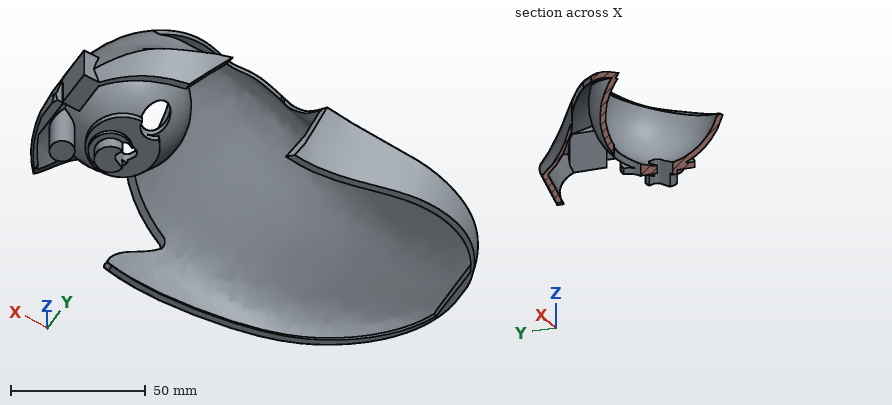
import cadquery as cq

WALL = 2.6
LIP_HEIGHT = 3.2
LIP_INSET = 1.5
CURL = 0.5
CUT_DEPTH = 140.2
SLOPE_STEPS = (1 / 3, 2 / 3, 1.0)

STATIONS = [
    (0.0, 57.8, 63.6, 4.5, 69.2, 3.5, 0.5),
    (2.6, 46.1, 63.6, 6.8, 78.9, 4.5, 0.6),
    (8.8, 35.0, 64.0, 10.0, 88.0, 6.3, 0.6),
    (21.0, 22.3, 64.8, 15.5, 95.7, 9.1, 0.6),
    (38.5, 11.2, 67.5, 22.3, 98.7, 13.1, 0.6),
    (59.6, 4.4, 71.0, 33.1, 96.5, 18.4, 0.45),
    (80.6, 1.0, 73.6, 46.3, 95.9, 22.8, 0.25),
    (101.7, 0.0, 75.0, 54.0, 98.1, 21.0, 0.4),
    (122.7, 2.6, 78.9, 54.5, 100.5, 16.5, 0.4),
    (140.2, 8.6, 78.9, 46.5, 97.0, 12.3, 0.35),
    (154.2, 16.6, 73.6, 38.2, 90.3, 10.5, 0.5),
    (164.7, 26.3, 65.7, 28.0, 79.2, 7.9, 0.65),
    (171.8, 37.7, 58.7, 15.8, 67.1, 5.3, 0.6),
    (175.3, 48.2, 53.5, 5.3, 58.7, 3.5, 0.5),
]

RIM_CENTRE = cq.Vector(141.3, 48.0, 35.8)
RIM_AXIS = cq.Vector(0.5, -0.5, 1.0).normalized()
RIM_RADIUS = 23.1
SOCKET_RADIUS = 23.3
SOCKET_WALL = 2.5
SOCKET_DROP = 3.5
RIM_STEP_WIDTH = 0.9
RIM_STEP_DEPTH = 1.0
BALL_CENTRE = RIM_CENTRE - RIM_AXIS * SOCKET_DROP
SIDE_HOLE_CENTRE = (134.0, 63.6)
SIDE_HOLE_RADIUS = 5.6
SENSOR_CENTRE = (138.0, 49.2)
SENSOR_LENGTH = 8.8
SENSOR_WIDTH = 6.0
SENSOR_ANGLE = 25.0
SENSOR_CORNER = 2.1

SEAT_CENTRE = (139.7, 49.6)
SEAT_RADIUS = 13.8
SEAT_BOTTOM = 6.8
SEAT_TOP = SEAT_BOTTOM + SOCKET_WALL
FOOT_CENTRE = (143.2, 46.6)
FOOT_RADIUS = 6.0
FOOT_COLLAR_RADIUS = 8.2
FOOT_COLLAR_BOTTOM = 5.3
POST_CENTRE = (160.4, 40.3)
POST_RADIUS = 4.7

PORT_FACE_X = 172.1
PORT_DEPTH = 7.4
PORT_LOW_Y = 59.2
PORT_HIGH_Y = 74.3
PORT_HEIGHT = 15.5

GAP_BACK_Y = 38.5
GAP_TONGUE = [(116.7, 0.0), (117.8, 2.6), (115.1, 8.6), (108.7, 13.5), (98.7, 18.5)]
GAP_INNER_END = (97.6, 20.0)
GAP_ROOF_START = (98.7, 21.7)
GAP_PEAK = (124.8, 31.7)
GAP_NOSE_EDGE = [(135.0, 27.2), (144.6, 22.8), (156.3, 12.0), (164.5, 0.0)]

THUMB_GAP_PALM_EDGE = [(79.0, 105.2), (79.0, 95.9), (83.6, 87.6), (89.2, 82.0), (87.6, 77.5)]
THUMB_GAP_WAIST = [(97.0, 77.5), (106.0, 73.6), (115.7, 75.4), (125.8, 77.5), (143.7, 78.0)]
THUMB_GAP_TIP = (145.0, 80.0)
THUMB_GAP_HORN_EDGE = [(143.0, 82.9), (132.5, 88.2), (125.8, 94.6), (123.2, 100.5)]
HORN_TIP_Z = 16.5
HORN_TOE_X = 136.7


def section(station, inset):
    """Closed YZ outline of the body at one station, drawn in by the inset."""
    x, low_y, ridge_y, ridge_z, high_y, high_z, fullness = station
    low_y += inset
    high_y -= inset
    ridge_z -= inset
    rise = ridge_z - LIP_HEIGHT
    slope = [(low_y + s**2 * (ridge_y - low_y), LIP_HEIGHT + s * rise) for s in SLOPE_STEPS]
    flank = ((ridge_y + high_y) / 2, high_z + fullness * (ridge_z - high_z))
    base_y = high_y - CURL * high_z
    return (
        cq.Workplane("YZ", origin=(x, 0, 0))
        .moveTo(low_y + LIP_INSET, 0)
        .lineTo(low_y, LIP_HEIGHT)
        .spline(slope + [flank, (high_y, high_z)], includeCurrent=True)
        .lineTo(base_y, 0)
        .close()
        .val()
    )


def body(stations, inset=0.0):
    """Solid lofted through the stations, drawn in by the inset."""
    return cq.Workplane(cq.Solid.makeLoft([section(s, inset) for s in stations]))


def finger_gap():
    """Cutter for the open space between the lower tongue and the ball end."""
    return (
        cq.Workplane("XZ")
        .moveTo(*GAP_TONGUE[0])
        .spline(GAP_TONGUE[1:], includeCurrent=True)
        .threePointArc(GAP_INNER_END, GAP_ROOF_START)
        .lineTo(*GAP_PEAK)
        .spline(GAP_NOSE_EDGE, includeCurrent=True)
        .close()
        .extrude(-GAP_BACK_Y)
    )


def thumb_gap():
    """Cutter for the open space between the palm and the horn beside the ball."""
    tip_x = THUMB_GAP_HORN_EDGE[-1][0]
    gap = (
        cq.Workplane("XY")
        .polyline(THUMB_GAP_PALM_EDGE)
        .spline(THUMB_GAP_WAIST, includeCurrent=True)
        .threePointArc(THUMB_GAP_TIP, THUMB_GAP_HORN_EDGE[0])
        .spline(THUMB_GAP_HORN_EDGE[1:], includeCurrent=True)
        .lineTo(tip_x, THUMB_GAP_PALM_EDGE[0][1])
        .close()
        .extrude(CUT_DEPTH)
    )
    undercut = (
        cq.Workplane("XZ", origin=(0, THUMB_GAP_TIP[1], 0))
        .polyline([(tip_x, HORN_TIP_Z), (HORN_TOE_X, 0), (tip_x, 0)])
        .close()
        .extrude(-CUT_DEPTH)
    )
    return gap.union(undercut)


def disc(centre, radius, bottom, top):
    return cq.Workplane("XY", origin=(*centre, bottom)).circle(radius).extrude(top - bottom)


def ball(radius):
    return cq.Workplane("XY", origin=BALL_CENTRE.toTuple()).sphere(radius)


def rim_bore(radius, depth):
    """Bore along the tilted rim axis, from a depth below the rim plane outwards."""
    start = RIM_CENTRE - RIM_AXIS * depth
    return cq.Workplane(cq.Solid.makeCylinder(radius, SOCKET_RADIUS, start, RIM_AXIS))


def socket_opening():
    return (
        ball(SOCKET_RADIUS)
        .union(rim_bore(RIM_RADIUS, SOCKET_DROP))
        .union(rim_bore(RIM_RADIUS + RIM_STEP_WIDTH, RIM_STEP_DEPTH))
    )


def socket_holes():
    side_hole = disc(SIDE_HOLE_CENTRE, SIDE_HOLE_RADIUS, 0, BALL_CENTRE.z)
    sensor = (
        cq.Workplane("XY")
        .rect(SENSOR_LENGTH, SENSOR_WIDTH)
        .extrude(BALL_CENTRE.z)
        .edges("|Z")
        .fillet(SENSOR_CORNER)
        .rotate((0, 0, 0), (0, 0, 1), SENSOR_ANGLE)
        .translate((*SENSOR_CENTRE, 0))
    )
    return side_hole.union(sensor)


def mounts():
    return (
        disc(SEAT_CENTRE, SEAT_RADIUS, SEAT_BOTTOM, SEAT_TOP)
        .union(disc(FOOT_CENTRE, FOOT_RADIUS, 0, SEAT_TOP))
        .union(disc(FOOT_CENTRE, FOOT_COLLAR_RADIUS, FOOT_COLLAR_BOTTOM, SEAT_TOP))
    )


def port_block(start_x, length):
    width = PORT_HIGH_Y - PORT_LOW_Y
    corner = (start_x, PORT_LOW_Y, 0)
    return cq.Workplane("XY", origin=corner).box(length, width, PORT_HEIGHT, centered=False)


outer = body(STATIONS)
inner = body(STATIONS[1:-1], WALL)
shell = outer.cut(inner).cut(finger_gap()).cut(thumb_gap())
post = disc(POST_CENTRE, POST_RADIUS, 0, CUT_DEPTH).intersect(outer)
socket = ball(SOCKET_RADIUS + SOCKET_WALL).intersect(outer)

result = (
    shell.union(socket)
    .union(post)
    .union(mounts())
    .union(port_block(PORT_FACE_X - PORT_DEPTH, PORT_DEPTH))
    .cut(port_block(PORT_FACE_X, PORT_DEPTH))
    .cut(socket_opening())
    .cut(socket_holes())
)